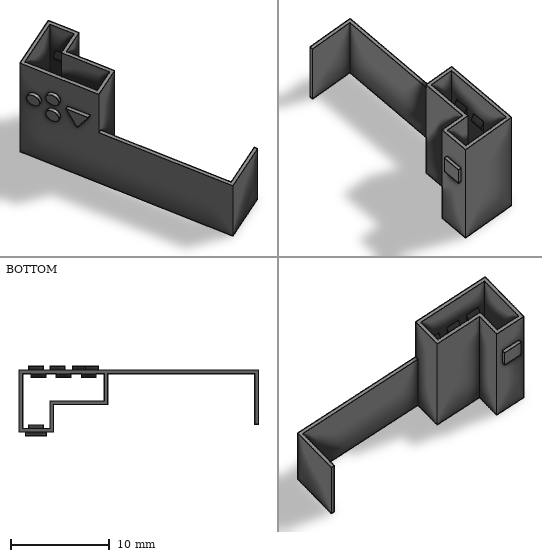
import cadquery as cq
import math

length = 24.25
depth = 6.3
height = 14.1
wall = 0.4

housing_length = 9.0
housing_depth = 3.52
bay_length = 3.52

plate_height = 8.0
arm_depth = 5.5

front_mark_height = 0.4
rear_mark_height = 0.36
mark_row_z = 9.5
mark_radius = 1.5
dot_diameter = 1.5
first_dot_x = 1.72
dot_circle_radius = 1.45
dot_count = 3
triangle_x = 6.75

ridge_length = 1.5
ridge_base = 1.5
ridge_height = 0.36
ridge_pitch = 2.55
first_ridge_x = 1.97
front_ridge_count = 3


def l_shaped_prism(inset):
    """Housing outline moved inwards by the inset, extruded to full height."""
    points = [
        (inset, inset),
        (housing_length - inset, inset),
        (housing_length - inset, housing_depth - inset),
        (bay_length - inset, housing_depth - inset),
        (bay_length - inset, depth - inset),
        (inset, depth - inset),
    ]
    return cq.Workplane("XY").polyline(points).close().extrude(height)


def low_plate_and_arm():
    """Front plate to the right of the housing, and the arm turning back from its end."""
    plate_length = length - housing_length
    plate = cq.Workplane("XY").box(plate_length, wall, plate_height, centered=False)
    plate = plate.translate((housing_length, 0, 0))
    arm = cq.Workplane("XY").box(wall, arm_depth, plate_height, centered=False)
    return plate.union(arm.translate((length - wall, 0, 0)))


def front_dots():
    """Three dots evenly spaced on a circle, the first one pointing left."""
    centre_x = first_dot_x + dot_circle_radius
    return (
        cq.Workplane("XZ", origin=(centre_x, 0, mark_row_z))
        .polarArray(dot_circle_radius, 180, 360, dot_count)
        .circle(dot_diameter / 2)
        .extrude(front_mark_height)
    )


def front_triangle():
    """Equilateral triangle, inscribed in the mark circle, pointing down."""
    corners = []
    for angle in (30, 150, 270):
        turn = math.radians(angle)
        corners.append((mark_radius * math.cos(turn), mark_radius * math.sin(turn)))
    return (
        cq.Workplane("XZ", origin=(triangle_x, 0, mark_row_z))
        .polyline(corners)
        .close()
        .extrude(front_mark_height)
    )


def rear_square():
    """Square inscribed in the mark circle, on the back of the narrow bay."""
    side = mark_radius * math.sqrt(2)
    return (
        cq.Workplane("XZ", origin=(first_dot_x, depth, mark_row_z))
        .rect(side, side)
        .extrude(-rear_mark_height)
    )


def ridge(centre_x, base_y, direction):
    """Triangular ridge along X that stands on a wall face, towards +Y or -Y."""
    half_base = ridge_base / 2
    points = [(0, -half_base), (direction * ridge_height, 0), (0, half_base)]
    return (
        cq.Workplane("YZ", origin=(centre_x - ridge_length / 2, base_y, mark_row_z))
        .polyline(points)
        .close()
        .extrude(ridge_length)
    )


result = l_shaped_prism(0).cut(l_shaped_prism(wall))
result = result.union(low_plate_and_arm())
result = result.union(front_dots()).union(front_triangle()).union(rear_square())
for index in range(front_ridge_count):
    result = result.union(ridge(first_ridge_x + index * ridge_pitch, wall, 1))
result = result.union(ridge(first_dot_x, depth - wall, -1))